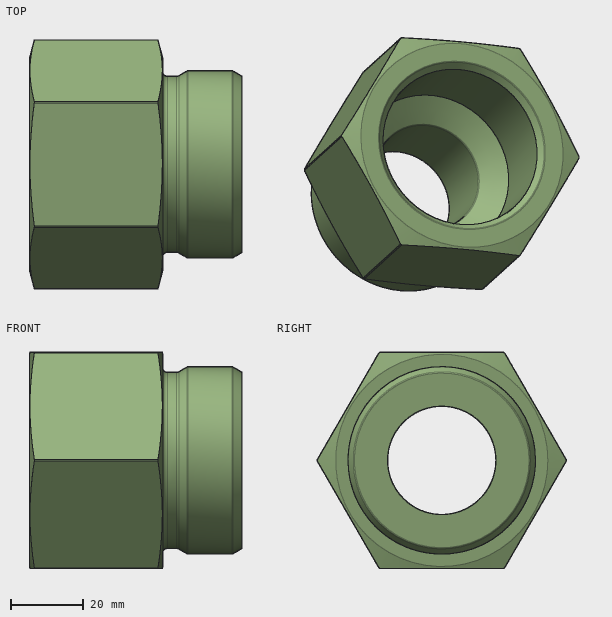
import cadquery as cq
import math

across_flats = 60.0
corner_diameter = 69.05
hex_length = 37.0
hex_face_diameter = 58.85
hex_chamfer_angle = 15.0

total_length = 59.0
spigot_diameter = 52.0
neck_diameter = 48.9
neck_start = 1.25
spigot_start = 6.85
neck_fillet_radius = 1.4
spigot_slope_angle = 30.0

edge_rounding = 0.4

bore_diameter = 44.8
bore_mouth_diameter = 48.2
bore_mouth_depth = 1.7
bore_depth = 27.75
through_diameter = 30.0
seat_angle = 60.0


def revolve_about_x(profile):
    """Turn a closed profile of (x, radius) around the X axis."""
    return profile.close().revolve(360, (0, 0, 0), (1, 0, 0))


def make_hexagon():
    """Hexagonal prism with turned corners and chamfered ends."""
    corner_to_corner = across_flats / math.cos(math.radians(30))
    prism = cq.Workplane("YZ").polygon(6, corner_to_corner).extrude(hex_length)

    face_radius = hex_face_diameter / 2
    corner_radius = corner_diameter / 2
    chamfer_length = (corner_radius - face_radius) * math.tan(math.radians(hex_chamfer_angle))
    envelope = revolve_about_x(
        cq.Workplane("XY")
        .moveTo(0, 0)
        .lineTo(0, face_radius)
        .lineTo(chamfer_length, corner_radius)
        .lineTo(hex_length - chamfer_length, corner_radius)
        .lineTo(hex_length, face_radius)
        .lineTo(hex_length, 0)
    )
    return prism.intersect(envelope)


def make_spigot():
    """Necked spigot with a sloped shoulder and a chamfered end."""
    neck_radius = neck_diameter / 2
    spigot_radius = spigot_diameter / 2
    slope = math.radians(spigot_slope_angle)
    slope_length = (spigot_radius - neck_radius) / math.tan(slope)

    neck_start_x = hex_length + neck_start
    arc_centre_radius = neck_radius + neck_fillet_radius

    def fillet_point(centre_x, angle):
        return (
            centre_x + neck_fillet_radius * math.sin(angle),
            arc_centre_radius - neck_fillet_radius * math.cos(angle),
        )

    rear_angle = -math.asin(neck_start / neck_fillet_radius)

    spigot_start_x = hex_length + spigot_start
    slope_foot_x = spigot_start_x - slope_length
    neck_end_x = slope_foot_x - neck_fillet_radius * math.tan(slope / 2)

    return revolve_about_x(
        cq.Workplane("XY")
        .moveTo(hex_length, 0)
        .lineTo(*fillet_point(neck_start_x, rear_angle))
        .threePointArc(fillet_point(neck_start_x, rear_angle / 2), (neck_start_x, neck_radius))
        .lineTo(neck_end_x, neck_radius)
        .threePointArc(fillet_point(neck_end_x, slope / 2), fillet_point(neck_end_x, slope))
        .lineTo(spigot_start_x, spigot_radius)
        .lineTo(total_length - slope_length, spigot_radius)
        .lineTo(total_length, neck_radius)
        .lineTo(total_length, 0)
    )


def make_passage():
    """Chamfered bore, conical seat and through hole."""
    bore_radius = bore_diameter / 2
    through_radius = through_diameter / 2
    seat_length = (bore_radius - through_radius) / math.tan(math.radians(seat_angle))
    return revolve_about_x(
        cq.Workplane("XY")
        .moveTo(0, 0)
        .lineTo(0, bore_mouth_diameter / 2)
        .lineTo(bore_mouth_depth, bore_radius)
        .lineTo(bore_depth, bore_radius)
        .lineTo(bore_depth + seat_length, through_radius)
        .lineTo(total_length, through_radius)
        .lineTo(total_length, 0)
    )


def round_turned_edges(body):
    """Round the spigot's crests and end rim, the bore mouth and the through hole's rim."""
    tolerance = 0.01
    turned_edges = (
        (spigot_diameter, hex_length, total_length),
        (neck_diameter, total_length - tolerance, total_length + tolerance),
        (bore_mouth_diameter, -tolerance, tolerance),
        (through_diameter, bore_depth, total_length - tolerance),
    )

    def is_turned_edge(edge):
        if edge.geomType() != "CIRCLE":
            return False
        return any(
            abs(edge.radius() - diameter / 2) < tolerance and x_min < edge.Center().x < x_max
            for diameter, x_min, x_max in turned_edges
        )

    return body.edges().filter(is_turned_edge).fillet(edge_rounding)


result = round_turned_edges(make_hexagon().union(make_spigot()).cut(make_passage()))